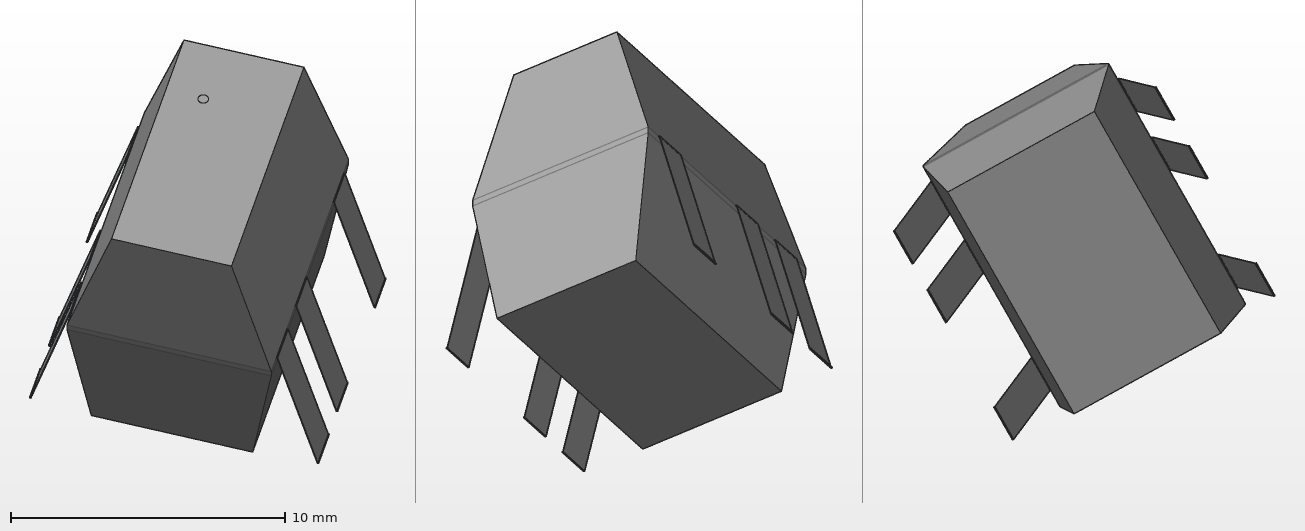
import cadquery as cq
import math

overall_width = 10.98
overall_height = 11.0

band_width = 7.75
band_length = 10.21
top_width = 4.55
top_length = 9.57
base_width = 6.13
base_length = 9.44
base_z = 0.15
band_bottom_z = 5.45
band_top_z = 5.71

lead_width = 1.4
lead_thickness = 0.03
lead_top_z = band_top_z
shoulder_length = 0.05
foot_length = 0.03
lead_pitch = 2.5
lead_row_steps = (-1.5, -0.5, 1.5)

marker_diameter = 0.38
marker_depth = 0.05
marker_x = -0.85
marker_y = 2.35


def make_frustum(bottom_z, bottom_size, top_z, top_size):
    """Rectangular block whose four sides taper evenly between two heights."""
    return (
        cq.Workplane("XY", origin=(0, 0, bottom_z))
        .rect(*bottom_size)
        .workplane(offset=top_z - bottom_z)
        .rect(*top_size)
        .loft(ruled=True, combine=True)
    )


def make_marker():
    return (
        cq.Workplane("XY", origin=(marker_x, marker_y, overall_height - marker_depth))
        .circle(marker_diameter / 2)
        .extrude(marker_depth)
    )


def make_housing():
    band_size = (band_width, band_length)
    lower_half = make_frustum(base_z, (base_width, base_length), band_bottom_z, band_size)
    band = make_frustum(band_bottom_z, band_size, band_top_z, band_size)
    upper_half = make_frustum(band_top_z, band_size, overall_height, (top_width, top_length))
    return lower_half.union(band).union(upper_half).cut(make_marker())


def make_lead(side, center_y):
    """Lead on one side of the housing: side is +1 for +X and -1 for -X."""
    root_x = band_width / 2
    shoulder_x = root_x + shoulder_length
    tip_x = overall_width / 2
    foot_x = tip_x - foot_length
    bend_angle = math.atan2(lead_top_z - lead_thickness, foot_x - shoulder_x)
    bend_offset = lead_thickness * math.tan(bend_angle / 2)
    profile = [
        (root_x, lead_top_z),
        (shoulder_x, lead_top_z),
        (foot_x, lead_thickness),
        (tip_x, lead_thickness),
        (tip_x, 0),
        (foot_x - bend_offset, 0),
        (shoulder_x - bend_offset, lead_top_z - lead_thickness),
        (root_x, lead_top_z - lead_thickness),
    ]
    return (
        cq.Workplane("XZ", origin=(0, center_y, 0))
        .polyline([(side * x, z) for x, z in profile])
        .close()
        .extrude(lead_width / 2, both=True)
    )


housing = make_housing()
marker = make_marker()
leads = [
    make_lead(side, step * lead_pitch)
    for side in (-1, 1)
    for step in lead_row_steps
]

result = cq.Compound.makeCompound(
    [housing.val(), marker.val(), *[lead.val() for lead in leads]]
)